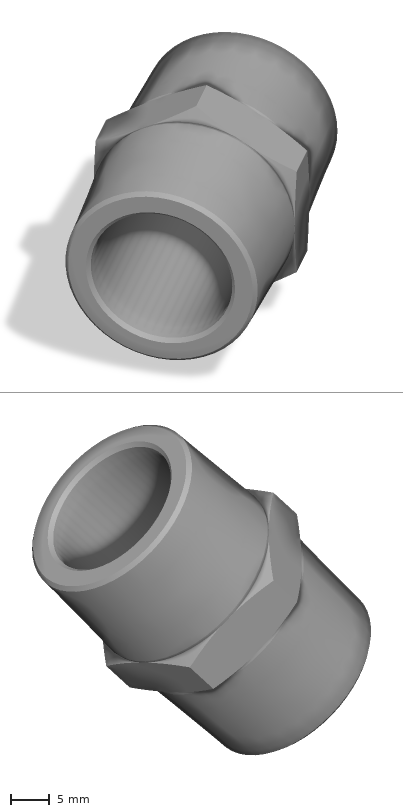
import cadquery as cq
import math

length = 39.75
bore_diameter = 19.0
end_chamfer = 0.5

root_diameter = 27.2
tip_diameter = 25.85
root_half_width = 3.95

hex_across_corners = 31.2
hex_half_width = 3.5
corner_half_width = 2.55
half_hex_angle = 30

half_length = length / 2
root_radius = root_diameter / 2
tip_radius = tip_diameter / 2
bore_radius = bore_diameter / 2
corner_radius = hex_across_corners / 2
flat_radius = corner_radius * math.cos(math.radians(half_hex_angle))


def revolve_about_y(points):
    """Turn a closed (radius, y) outline around the Y axis."""
    return cq.Workplane("XY").polyline(points).close().revolve(360, (0, 0, 0), (0, 1, 0))


def make_body():
    """Core with a tapered end on each side, chamfered at the tip and narrowed to the flats at the root."""
    upper = [
        (flat_radius, hex_half_width),
        (root_radius, root_half_width),
        (tip_radius, half_length - end_chamfer),
        (tip_radius - end_chamfer, half_length),
        (0, half_length),
    ]
    lower = [(radius, -y) for radius, y in reversed(upper)]
    return revolve_about_y(lower + upper)


def make_hexagon():
    """Hexagonal grip whose corners are turned to a cone on both sides."""
    prism = (
        cq.Workplane("XZ")
        .polygon(6, hex_across_corners)
        .extrude(hex_half_width, both=True)
        .rotate((0, 0, 0), (0, 1, 0), half_hex_angle)
    )
    envelope = revolve_about_y([
        (0, -hex_half_width),
        (root_radius, -hex_half_width),
        (corner_radius, -corner_half_width),
        (corner_radius, corner_half_width),
        (root_radius, hex_half_width),
        (0, hex_half_width),
    ])
    return prism.intersect(envelope)


def make_bore():
    """Through bore with a chamfered mouth at each end."""
    mouth_radius = bore_radius + end_chamfer
    return revolve_about_y([
        (0, -half_length),
        (mouth_radius, -half_length),
        (bore_radius, -half_length + end_chamfer),
        (bore_radius, half_length - end_chamfer),
        (mouth_radius, half_length),
        (0, half_length),
    ])


result = make_body().union(make_hexagon()).cut(make_bore())